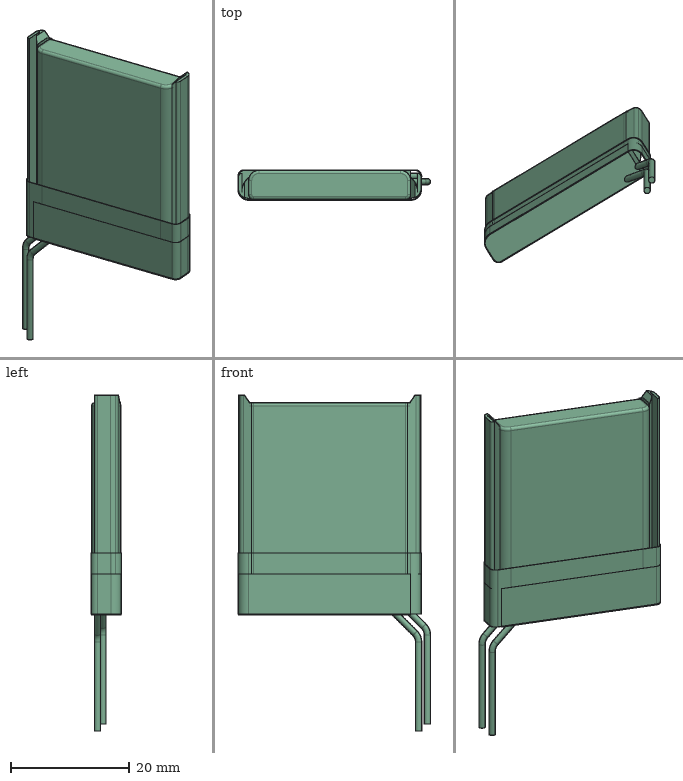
import cadquery as cq
import math


TOTAL_HEIGHT = 56.9

SLEEVE_WIDTH = 31.05
SLEEVE_DEPTH = 5.2
SLEEVE_HEIGHT = 10.35
SLEEVE_WALL = 0.1
SLEEVE_FRONT_RADIUS = 1.8
SLEEVE_REAR_RADIUS = 1.1
INNER_HALF_WIDTH = SLEEVE_WIDTH / 2 - SLEEVE_WALL
INNER_HALF_DEPTH = SLEEVE_DEPTH / 2 - SLEEVE_WALL

CELL_WIDTH = 27.4
CELL_BOTTOM = 6.8
CELL_TOP = 35.8
CELL_REAR_RADIUS = 1.7
CELL_FRONT_RADIUS = 0.85
CELL_RIM_RADIUS = 0.5

FLAP_TOP = 37.1
FLAP_THICKNESS = 0.55
FLAP_REAR = 2.0
FLAP_REAR_RADIUS = 0.5
FLAP_SIDE_FRONT = -0.75
FLAP_UPPER_BEND_RADIUS = 1.6
FLAP_UPPER_BEND_ANGLE = 30
FLAP_LOWER_BEND_RADIUS = 1.1
FLAP_LOWER_BEND_ANGLE = 44
FLAP_WEB_END = 13.2
FLAP_WEB_REAR = 1.6
FLAP_NOTCH_FRONT = -1.2
FLAP_NOTCH_MIDDLE = (14.4, 0.5)
FLAP_TOP_WIDTH = 0.95
FLAP_SLOPE_RUN = 0.9

FILLER_OVERHANG = 0.15
FILLER_RIGHT_END = SLEEVE_WIDTH / 2 - SLEEVE_FRONT_RADIUS

WIRE_DIAMETER = 1.1
WIRE_BEND_RADIUS = 2.1
WIRE_BEND_ANGLE = math.radians(45)
WIRE_INNER_END = 1.7
WIRES = [
    (15.6, 1.5, FLAP_TOP - TOTAL_HEIGHT, -4.7),
    (17.05, 0.55, -18.6, -3.5),
]


def rounded_prism(half_width, half_depth, front_radius, rear_radius, bottom, top):
    """Upright block with one radius on its front corners and another on its rear corners."""
    block = cq.Workplane("XY").workplane(offset=bottom).rect(2 * half_width, 2 * half_depth)
    block = block.extrude(top - bottom)
    return block.edges("|Z and <Y").fillet(front_radius).edges("|Z and >Y").fillet(rear_radius)


def sleeve_interior(bottom, top):
    """Space inside the sleeve, between two heights."""
    return rounded_prism(
        INNER_HALF_WIDTH,
        INNER_HALF_DEPTH,
        SLEEVE_FRONT_RADIUS - SLEEVE_WALL,
        SLEEVE_REAR_RADIUS - SLEEVE_WALL,
        bottom,
        top,
    )


def make_sleeve():
    outside = rounded_prism(
        SLEEVE_WIDTH / 2, SLEEVE_DEPTH / 2, SLEEVE_FRONT_RADIUS, SLEEVE_REAR_RADIUS, 0, SLEEVE_HEIGHT
    )
    return outside.cut(sleeve_interior(0, SLEEVE_HEIGHT))


def cell_column(top):
    """Cell outline carried up to a given height."""
    return rounded_prism(
        CELL_WIDTH / 2, INNER_HALF_DEPTH, CELL_FRONT_RADIUS, CELL_REAR_RADIUS, CELL_BOTTOM, top
    )


def make_cell():
    return cell_column(CELL_TOP).faces(">Z").edges().fillet(CELL_RIM_RADIUS)


def bend(start, radius, start_angle, turn):
    """Middle and end points of an arc that leaves the flap side and turns towards the web.

    Angles are in degrees, measured from the flat side of the flap.
    """
    points = []
    for angle in (start_angle + turn / 2, start_angle + turn):
        inward = math.cos(math.radians(start_angle)) - math.cos(math.radians(angle))
        forward = math.sin(math.radians(angle)) - math.sin(math.radians(start_angle))
        points.append((start[0] - radius * inward, start[1] - radius * forward))
    return points


def make_right_flap():
    """Flap with a flat side, a two-radius bend to a slanted front web, and a notch behind the web."""
    side_inside = INNER_HALF_WIDTH - FLAP_THICKNESS
    side_front = (INNER_HALF_WIDTH, FLAP_SIDE_FRONT)
    upper_bend = bend(side_front, FLAP_UPPER_BEND_RADIUS, 0, FLAP_UPPER_BEND_ANGLE)
    lower_bend = bend(upper_bend[1], FLAP_LOWER_BEND_RADIUS, FLAP_UPPER_BEND_ANGLE, FLAP_LOWER_BEND_ANGLE)
    web_slope = 1 / math.tan(math.radians(FLAP_UPPER_BEND_ANGLE + FLAP_LOWER_BEND_ANGLE))
    web_front = lower_bend[1][1] - (lower_bend[1][0] - FLAP_WEB_END) * web_slope
    flap = (
        cq.Workplane("XY").workplane(offset=CELL_BOTTOM)
        .moveTo(INNER_HALF_WIDTH, FLAP_REAR)
        .lineTo(*side_front)
        .threePointArc(*upper_bend)
        .threePointArc(*lower_bend)
        .lineTo(FLAP_WEB_END, web_front)
        .lineTo(FLAP_WEB_END, FLAP_WEB_REAR)
        .threePointArc(FLAP_NOTCH_MIDDLE, (side_inside, FLAP_NOTCH_FRONT))
        .lineTo(side_inside, FLAP_REAR)
        .close()
        .extrude(FLAP_TOP - CELL_BOTTOM)
    )
    flap = flap.edges("|Z and >X and >Y").fillet(FLAP_REAR_RADIUS)
    return flap.cut(cell_column(FLAP_TOP)).cut(flap_top_cut())


def flap_top_cut():
    """Material removed above the web: a slope from the flap top, then a flat at cell-top height."""
    slope_start = INNER_HALF_WIDTH - FLAP_TOP_WIDTH
    slope_end = slope_start - FLAP_SLOPE_RUN
    return (
        cq.Workplane("XZ")
        .polyline([
            (slope_start, FLAP_TOP),
            (slope_end, CELL_TOP),
            (FLAP_WEB_END, CELL_TOP),
            (FLAP_WEB_END, FLAP_TOP),
        ])
        .close()
        .extrude(INNER_HALF_DEPTH, both=True)
    )


def make_wire(right_edge, y, lower_end, bend_start):
    """Wire that hangs straight, then bends to slope up and left into the filler."""
    x = right_edge - WIRE_DIAMETER / 2
    bend_x = x - WIRE_BEND_RADIUS * (1 - math.cos(WIRE_BEND_ANGLE))
    bend_z = bend_start + WIRE_BEND_RADIUS * math.sin(WIRE_BEND_ANGLE)
    slope_run = (WIRE_INNER_END - bend_z) * math.tan(WIRE_BEND_ANGLE)
    middle = WIRE_BEND_ANGLE / 2
    bend_middle = (
        x - WIRE_BEND_RADIUS * (1 - math.cos(middle)),
        bend_start + WIRE_BEND_RADIUS * math.sin(middle),
    )
    path = (
        cq.Workplane("XZ", origin=(0, y, 0))
        .moveTo(x, lower_end)
        .lineTo(x, bend_start)
        .threePointArc(bend_middle, (bend_x, bend_z))
        .lineTo(bend_x - slope_run, WIRE_INNER_END)
    )
    return cq.Workplane("XY", origin=(x, y, lower_end)).circle(WIRE_DIAMETER / 2).sweep(path)


def make_filler(wires):
    """Block under the cell, left of the right-hand opening, with holes for the wires."""
    filler = sleeve_interior(-FILLER_OVERHANG, CELL_BOTTOM)
    opening_width = SLEEVE_WIDTH / 2 - FILLER_RIGHT_END
    opening_height = CELL_BOTTOM + FILLER_OVERHANG
    opening = (
        cq.Workplane("XY", origin=(FILLER_RIGHT_END + opening_width / 2, 0, -FILLER_OVERHANG))
        .rect(opening_width, SLEEVE_DEPTH)
        .extrude(opening_height)
    )
    filler = filler.cut(opening)
    for wire in wires:
        filler = filler.cut(wire)
    return filler


cell = make_cell()
right_flap = make_right_flap()
flaps = [right_flap, right_flap.mirror("YZ")]
sleeve = make_sleeve()
wires = [make_wire(*wire) for wire in WIRES]
filler = make_filler(wires)

bodies = [cell, *flaps, sleeve, filler, *wires]
result = cq.Compound.makeCompound([body.val() for body in bodies])